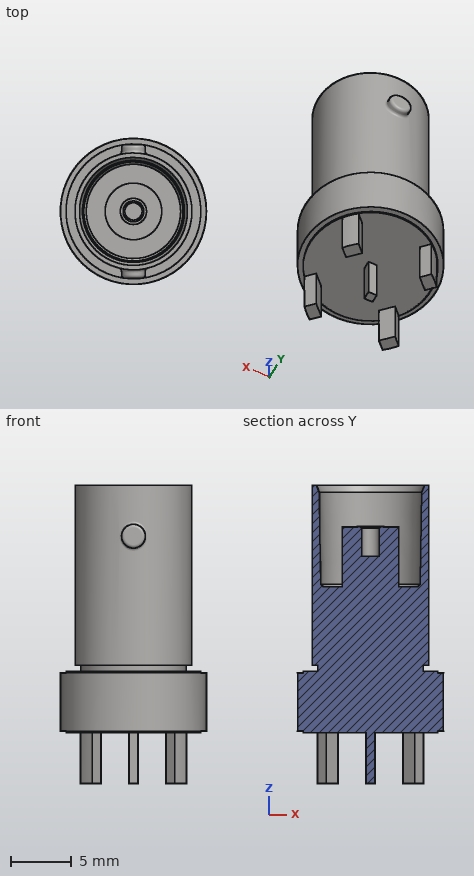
import cadquery as cq
import math

total_height = 24.65
leg_length = 4.2
rim_step = 0.15
flange_bottom = leg_length + rim_step
flange_top = 9.15
rim_top = flange_top + rim_step
barrel_bottom = 9.77

flange_radius = 6.05
rim_radius = 5.57
neck_radius = 4.36
barrel_radius = 4.83

mouth_radius = 4.46
lip_radius = 4.22
lip_depth = 0.6
bore_radius = 4.1
floor_radius = 3.9
floor_depth = 8.38
floor_bevel = bore_radius - floor_radius

insulator_radius = 2.35
insulator_depth = 3.45
contact_radius = 1.09
contact_rise = 0.05
contact_mouth_radius = 0.86
contact_hole_radius = 0.72
contact_bevel = contact_mouth_radius - contact_hole_radius
contact_hole_depth = 2.47

stud_radius = 0.99
stud_height = total_height - 4.22
stud_reach = 5.52
stud_end_fillet = 0.27
stud_root_fillet = 0.22

leg_width = 1.4
leg_inner_distance = 4.5
leg_outer_radius = 5.55
leg_count = 4
center_pin_width = 0.76


def revolve_profile(points):
    """Revolve an (r, z) outline about the Z axis."""
    return cq.Workplane("XZ").polyline(points).close().revolve(360, (0, 0), (0, 1))


def make_body():
    """Solid barrel, neck and stepped flange."""
    return revolve_profile([
        (0, leg_length),
        (rim_radius, leg_length),
        (rim_radius, flange_bottom),
        (flange_radius, flange_bottom),
        (flange_radius, flange_top),
        (rim_radius, flange_top),
        (rim_radius, rim_top),
        (neck_radius, rim_top),
        (neck_radius, barrel_bottom),
        (barrel_radius, barrel_bottom),
        (barrel_radius, total_height),
        (0, total_height),
    ])


def add_studs(body):
    """Two opposite studs, rounded at the tip and blended into the barrel."""
    studs = (
        cq.Workplane("XZ", origin=(0, stud_reach, stud_height))
        .circle(stud_radius)
        .extrude(2 * stud_reach)
        .faces("<Y or >Y")
        .edges()
        .fillet(stud_end_fillet)
    )
    root_half_height = stud_radius + stud_root_fillet
    root_zone = cq.selectors.BoxSelector(
        (-stud_radius, -barrel_radius, stud_height - root_half_height),
        (stud_radius, barrel_radius, stud_height + root_half_height),
    )
    return body.union(studs).edges(root_zone).edges("%BSPLINE").fillet(stud_root_fillet)


def make_bore():
    """Flared socket around the insulator post."""
    floor_z = total_height - floor_depth
    insulator_z = total_height - insulator_depth
    contact_z = insulator_z + contact_rise
    return revolve_profile([
        (0, total_height),
        (mouth_radius, total_height),
        (lip_radius, total_height - lip_depth),
        (bore_radius, floor_z + floor_bevel),
        (floor_radius, floor_z),
        (insulator_radius, floor_z),
        (insulator_radius, insulator_z),
        (contact_radius, insulator_z),
        (contact_radius, contact_z),
        (0, contact_z),
    ])


def make_contact_hole():
    """Blind hole with a bevelled entry."""
    top_z = total_height - insulator_depth + contact_rise
    bottom_z = top_z - contact_hole_depth
    return revolve_profile([
        (0, top_z),
        (contact_mouth_radius, top_z),
        (contact_hole_radius, top_z - contact_bevel),
        (contact_hole_radius, bottom_z),
        (0, bottom_z),
    ])


def make_leg(angle):
    """Radial leg whose outer face is rounded just inside the rim."""
    half_width = leg_width / 2
    shoulder = math.sqrt(leg_outer_radius**2 - half_width**2)
    return (
        cq.Workplane("XY")
        .moveTo(leg_inner_distance, -half_width)
        .lineTo(shoulder, -half_width)
        .threePointArc((leg_outer_radius, 0), (shoulder, half_width))
        .lineTo(leg_inner_distance, half_width)
        .close()
        .extrude(leg_length)
        .rotate((0, 0, 0), (0, 0, 1), angle)
    )


result = add_studs(make_body()).cut(make_bore()).cut(make_contact_hole())

for index in range(leg_count):
    result = result.union(make_leg((index + 0.5) * 360 / leg_count))

center_pin = cq.Workplane("XY").rect(center_pin_width, center_pin_width).extrude(leg_length)
result = result.union(center_pin)